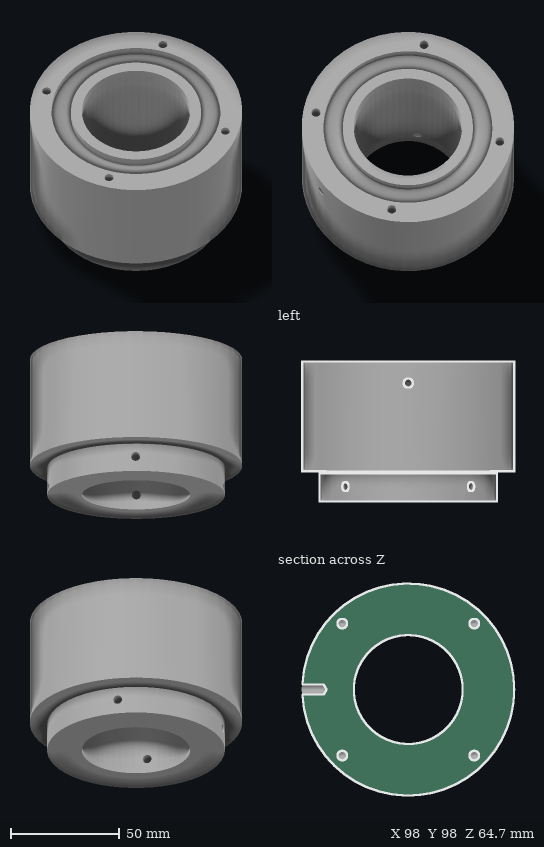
import cadquery as cq
import math

height = 64.7
body_diameter = 98.0
bore_diameter = 50.0

collar_diameter = 82.0
collar_height = 13.0
groove_diameter = 76.0
groove_height = 1.0

recess_outer_diameter = 78.0
recess_inner_diameter = 60.0
recess_depth = 4.3

hole_diameter = 4.2
top_hole_depth = 10.0
drill_point_angle = 118.0
bolt_circle_diameter = 86.0
hole_angles = (45, 135, 225, 315)
collar_hole_height = 7.0
side_hole_drop = 10.0
side_hole_depth = 10.0


def disc(diameter, thickness, base):
    return cq.Workplane("XY").workplane(offset=base).circle(diameter / 2).extrude(thickness)


def drill(depth):
    """Blind drill along +X from the origin, ending in a conical point."""
    radius = hole_diameter / 2
    point_length = radius / math.tan(math.radians(drill_point_angle / 2))
    return (
        cq.Workplane("XZ")
        .polyline([(0, 0), (0, radius), (depth, radius), (depth + point_length, 0)])
        .close()
        .revolve(360, (0, 0, 0), (1, 0, 0))
    )


def side_drill():
    """Drill aimed at the axis from the -X side of the body."""
    return drill(side_hole_depth).translate((-body_diameter / 2, 0, height - side_hole_drop))


def collar_hole(angle):
    """Radial hole running from the axis out through the collar wall."""
    return (
        cq.Workplane("YZ")
        .center(0, collar_hole_height)
        .circle(hole_diameter / 2)
        .extrude(collar_diameter / 2)
        .rotate((0, 0, 0), (0, 0, 1), angle)
    )


def top_drill(angle):
    """Drill pointing down into the top rim."""
    return (
        drill(top_hole_depth)
        .rotate((0, 0, 0), (0, 1, 0), 90)
        .translate((bolt_circle_diameter / 2, 0, height))
        .rotate((0, 0, 0), (0, 0, 1), angle)
    )


body_base = collar_height + groove_height
result = (
    disc(collar_diameter, collar_height, 0)
    .union(disc(groove_diameter, groove_height, collar_height))
    .union(disc(body_diameter, height - body_base, body_base))
)

recess_floor = height - recess_depth
recess = disc(recess_outer_diameter, recess_depth, recess_floor).cut(
    disc(recess_inner_diameter, recess_depth, recess_floor)
)
result = result.cut(disc(bore_diameter, height, 0)).cut(recess)

for angle in hole_angles:
    result = result.cut(top_drill(angle))
    result = result.cut(collar_hole(angle))

result = result.cut(side_drill())